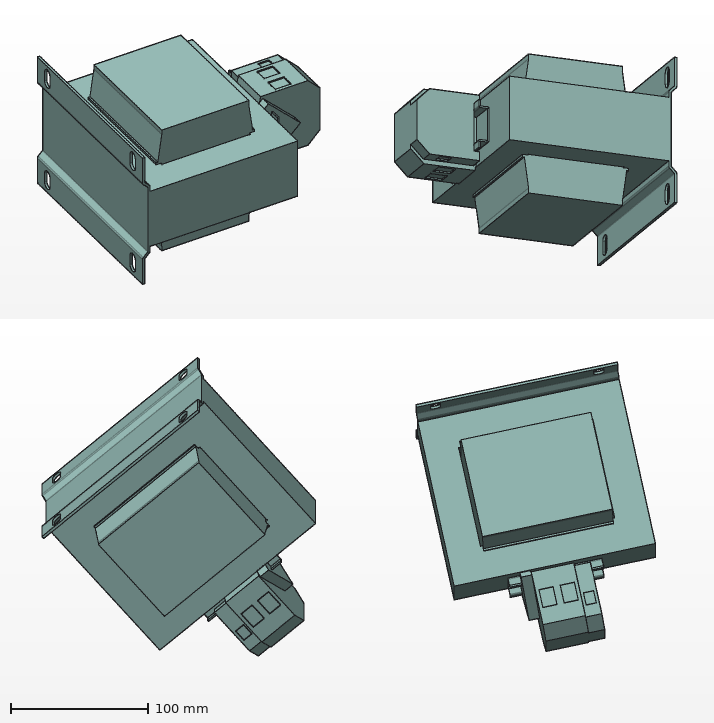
import cadquery as cq


core_width = 150.0
core_front = 6.5
core_length = 125.0
core_height = 49.0
core_rear = core_front + core_length
limb = core_width / 6
window_width = core_width - 2 * limb
window_length = core_length - 2 * limb
window_y = core_front + core_length / 2

coil_width = 96.8
coil_top = 53.6
coil_taper_top = 49.8
coil_top_length = 73.7
coil_base_length = 80.4
flange_length = 83.3
flange_thickness = 1.8
flange_top = core_height / 2 + flange_thickness

bracket_height = 112.0
sheet = 2.0
foot_bend_z = 33.0
joggle = core_front - sheet
bend_inner_radius = 0.2
bend_outer_radius = bend_inner_radius + sheet
bend_shift = sheet * (2 ** 0.5 - 1)
slot_width = 7.5
slot_length = 15.5
slot_x = 60.8
slot_z = 45.0

rail_length = 70.0
rail_wall = 1.3
rail_depth = 8.1
rail_bend_radius = 1.1
rail_half_height = 18.5
rail_channel_half = 13.6
rail_rear = core_rear + rail_depth

terminal_rear = 184.3
block_start_x = -25.8
small_width = 12.2
small_half_height = 25.2
small_front = 135.0
small_chamfer = 10.0
small_pocket_width = 7.5
small_pocket_length = 9.2
small_pocket_y = 160.9
large_width = 15.8
large_half_height = 28.8
large_chamfer = 10.3
large_front = 133.8
large_base_half = 15.3
large_pocket_width = 10.5
large_pocket_length = 13.5
large_pocket_y = 154.6
large_count = 2
pocket_depth = 1.1

stop_width = 8.0
stop_rear = 163.0
stop_shoulder_y = 135.6
stop_shoulder_z = 26.5
stop_base_half = stop_shoulder_z - (stop_shoulder_y - core_rear)


def symmetric_prism(upper_outline, x_start, width):
    """Extrude along X the (Y, Z) outline given for Z >= 0 together with its mirror image."""
    lower_outline = [(y, -z) for y, z in reversed(upper_outline) if z != 0]
    outline = upper_outline + lower_outline
    return cq.Workplane("YZ", origin=(x_start, 0, 0)).polyline(outline).close().extrude(width)


def round_bends(body, corners, radius):
    """Fillet the edges along X at the given (Y, Z) corners and at their mirror images."""
    for y, z in corners:
        for side in (-1, 1):
            edge = cq.selectors.NearestToPointSelector((0, y, side * z))
            body = body.edges("|X").edges(edge).fillet(radius)
    return body


def box(width, length, height, center):
    return cq.Workplane("XY").box(width, length, height).translate(center)


def make_core():
    core = box(core_width, core_length, core_height, (0, window_y, 0))
    window = box(window_width, window_length, core_height, (0, window_y, 0))
    return core.cut(window)


def make_coil():
    upper_outline = [
        (window_y - flange_length / 2, flange_top),
        (window_y - coil_base_length / 2, flange_top),
        (window_y - coil_top_length / 2, coil_taper_top),
        (window_y - coil_top_length / 2, coil_top),
        (window_y + coil_top_length / 2, coil_top),
        (window_y + coil_top_length / 2, coil_taper_top),
        (window_y + coil_base_length / 2, flange_top),
        (window_y + flange_length / 2, flange_top),
    ]
    coil = symmetric_prism(upper_outline, -coil_width / 2, coil_width)
    for side in (-1, 1):
        yoke_y = window_y + side * (window_length + limb) / 2
        coil = coil.cut(box(coil_width, limb, core_height, (0, yoke_y, 0)))
    return coil


def make_bracket():
    half_height = bracket_height / 2
    web_bend_z = foot_bend_z - joggle
    foot_front = (0, foot_bend_z)
    foot_rear = (sheet, foot_bend_z + bend_shift)
    web_front = (joggle, web_bend_z)
    web_rear = (core_front, web_bend_z + bend_shift)
    upper_outline = [
        web_rear,
        foot_rear,
        (sheet, half_height),
        (0, half_height),
        foot_front,
        web_front,
    ]
    bracket = symmetric_prism(upper_outline, -core_width / 2, core_width)

    bracket = round_bends(bracket, (foot_front, web_rear), bend_outer_radius)
    bracket = round_bends(bracket, (foot_rear, web_front), bend_inner_radius)

    slot_centers = [(x, z) for x in (-slot_x, slot_x) for z in (-slot_z, slot_z)]
    slots = (
        cq.Workplane("XZ")
        .pushPoints(slot_centers)
        .slot2D(slot_length, slot_width, 90)
        .extrude(-sheet)
    )
    return bracket.cut(slots)


def make_rail():
    channel_inner = rail_channel_half - rail_wall
    upper_outline = [
        (core_rear + rail_wall, channel_inner),
        (rail_rear, channel_inner),
        (rail_rear, rail_half_height),
        (rail_rear - rail_wall, rail_half_height),
        (rail_rear - rail_wall, rail_channel_half),
        (core_rear, rail_channel_half),
    ]
    rail = symmetric_prism(upper_outline, -rail_length / 2, rail_length)
    outer_corners = ((core_rear, rail_channel_half), (rail_rear, channel_inner))
    return round_bends(rail, outer_corners, rail_bend_radius)


def cut_pockets(block, half_height, width, length, x, y):
    """Sink a shallow wire-entry pocket into the top and the bottom of a terminal."""
    for side in (-1, 1):
        z = side * (half_height - pocket_depth / 2)
        block = block.cut(box(width, length, pocket_depth, (x, y, z)))
    return block


def make_small_terminal(x_start):
    upper_outline = [
        (rail_rear, rail_half_height),
        (small_front, rail_half_height),
        (small_front, small_half_height),
        (terminal_rear - small_chamfer, small_half_height),
        (terminal_rear, small_half_height - small_chamfer),
    ]
    block = symmetric_prism(upper_outline, x_start, small_width)
    return cut_pockets(
        block, small_half_height, small_pocket_width, small_pocket_length,
        x_start + small_width / 2, small_pocket_y,
    )


def make_large_terminal(x_start):
    upper_outline = [
        (core_rear, large_base_half),
        (large_front, large_half_height),
        (terminal_rear - large_chamfer, large_half_height),
        (terminal_rear, large_half_height - large_chamfer),
    ]
    block = symmetric_prism(upper_outline, x_start, large_width)
    return cut_pockets(
        block, large_half_height, large_pocket_width, large_pocket_length,
        x_start + large_width / 2, large_pocket_y,
    )


def make_end_stop(x_start):
    upper_outline = [
        (core_rear, stop_base_half),
        (stop_shoulder_y, stop_shoulder_z),
        (stop_rear, 0),
    ]
    return symmetric_prism(upper_outline, x_start, stop_width)


large_start_x = block_start_x + small_width
stop_start_x = large_start_x + large_count * large_width

result = make_core().union(make_coil()).union(make_bracket()).union(make_rail())
result = result.union(make_small_terminal(block_start_x))
for index in range(large_count):
    result = result.union(make_large_terminal(large_start_x + index * large_width))
result = result.union(make_end_stop(stop_start_x))